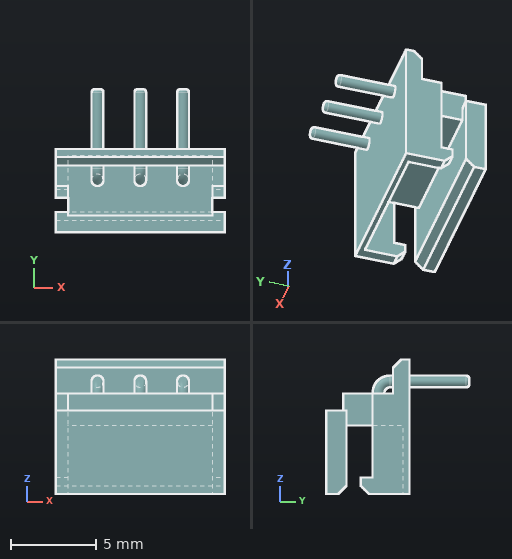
import cadquery as cq

width = 9.9
housing_depth = 4.89
housing_height = 7.9
edge_chamfer = 0.495

flange_thickness = 0.98
shelf_height = 5.9
body_front_y = 2.71
hook_tip_y = 2.03
hook_height = 0.99

plate_thickness = 1.21
plate_height = 4.91
bridge_front_y = 1.0
bridge_bottom_z = 4.01
end_wall_thickness = 0.72
inner_width = width - 2 * end_wall_thickness

back_wall_thickness = 0.38

pin_diameter = 0.7
pin_radius = pin_diameter / 2
pin_count = 3
pin_pitch = 2.5
pin_tip_y = 8.4
pin_center_z = 6.6
pin_vertical_y = 3.07
bend_radius = 0.67
pin_embed_depth = 0.495
tip_fillet = 0.2


def extrude_profile(points):
    """Extrude a closed Y-Z outline over the full width."""
    return cq.Workplane("YZ").polyline(points).close().extrude(width)


def inner_box(front_y, back_y, bottom_z, top_z):
    """Make a box between the two end walls."""
    return (
        cq.Workplane("XY")
        .box(inner_width, back_y - front_y, top_z - bottom_z, centered=False)
        .translate((end_wall_thickness, front_y, bottom_z))
    )


def make_body():
    flange_front_y = housing_depth - flange_thickness
    body = extrude_profile([
        (housing_depth, 0),
        (housing_depth, housing_height),
        (housing_depth - flange_thickness + edge_chamfer, housing_height),
        (flange_front_y, housing_height - edge_chamfer),
        (flange_front_y, shelf_height),
        (body_front_y, shelf_height),
        (body_front_y, hook_height),
        (hook_tip_y, hook_height),
        (hook_tip_y, edge_chamfer),
        (hook_tip_y + edge_chamfer, 0),
    ])
    cavity_back_y = housing_depth - back_wall_thickness
    return body.cut(inner_box(hook_tip_y, cavity_back_y, 0, bridge_bottom_z))


def make_front_plate():
    return extrude_profile([
        (0, 0),
        (0, plate_height),
        (plate_thickness, plate_height),
        (plate_thickness, edge_chamfer),
        (plate_thickness - edge_chamfer, 0),
    ])


def make_pin(x):
    """Make a pin that rises from the shelf, bends and leaves through the flange."""
    bend_end_y = pin_vertical_y + bend_radius
    bend_start_z = pin_center_z - bend_radius
    foot_z = shelf_height - pin_embed_depth

    upright = (
        cq.Workplane("XY", origin=(x, pin_vertical_y, foot_z))
        .circle(pin_radius)
        .extrude(bend_start_z - foot_z)
    )
    bend = (
        cq.Workplane("XY", origin=(x, pin_vertical_y, bend_start_z))
        .circle(pin_radius)
        .revolve(90, (0, bend_radius, 0), (-1, bend_radius, 0))
    )
    straight = (
        cq.Workplane("XZ", origin=(x, bend_end_y, pin_center_z))
        .circle(pin_radius)
        .extrude(bend_end_y - pin_tip_y)
        .faces(">Y")
        .edges()
        .fillet(tip_fillet)
    )
    return upright.union(bend).union(straight)


bridge = inner_box(bridge_front_y, body_front_y, bridge_bottom_z, shelf_height)
result = make_body().union(bridge).union(make_front_plate())

first_pin_x = width / 2 - pin_pitch * (pin_count - 1) / 2
for index in range(pin_count):
    result = result.union(make_pin(first_pin_x + index * pin_pitch))